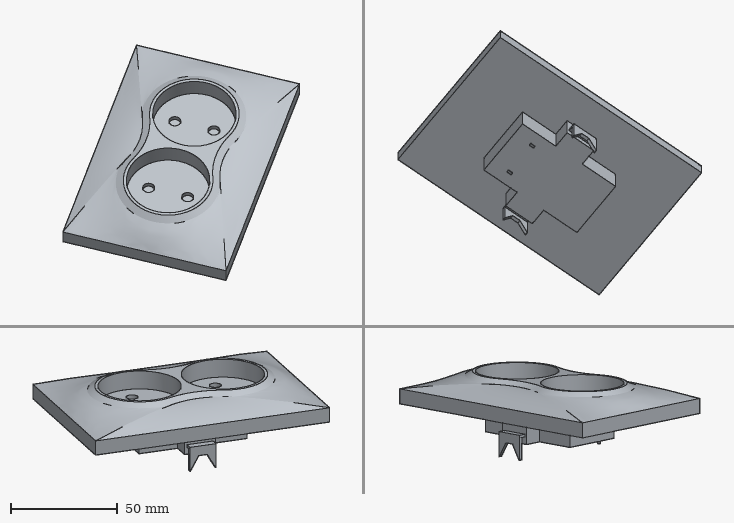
import cadquery as cq
import math


plate_width = 80.0
plate_length = 118.0
rim_height = 7.2
top_height = 15.2

socket_offset = 21.0
collar_top_radius = 21.0
collar_waist = 17.0
collar_flare = 3.4
collar_height = 2.0
collar_foot_height = top_height - collar_height

dome_steps = (0.33, 0.67)
dome_power = 1.5

socket_diameter = 39.0
socket_depth = 9.0
pin_diameter = 5.5
pin_offset = 9.5
pin_depth = 2.1
socket_floor_height = top_height - socket_depth

body_depth = 12.6
body_width = 47.9
body_length = 54.5
wide_arm_length = 15.6
long_arm_width = 30.2

pad_size = (1.2, 2.5)
pad_height = 0.4
pad_x = 8.7
pad_y = 16.9

claw_reach = 27.7
claw_width = 13.2
claw_top = -7.8
claw_bottom = -19.8
claw_leg_thickness = 1.7
claw_tab_thickness = 1.3
notch_top_width = 4.2
claw_tip_width = 0.2


def eight_points(flare):
    """End of the socket arc, far point of that arc and waist point, in the +X +Y quarter.

    The waist arc is centred on the X axis and is tangent to both socket arcs.
    """
    waist_depth = collar_top_radius - collar_waist
    waist_radius = (collar_waist**2 + socket_offset**2 - collar_top_radius**2) / (2 * waist_depth)
    waist_centre = waist_radius + collar_waist
    centre_distance = math.hypot(waist_centre, socket_offset)
    radius = collar_top_radius + flare
    junction = (
        radius * waist_centre / centre_distance,
        socket_offset * (1 - radius / centre_distance),
    )
    return junction, (0, socket_offset + radius), (collar_waist + flare, 0)


def four_sided_outline(height, corner, end, side):
    """Closed outline of four arcs through mirrored corner, end and side points."""
    corner_x, corner_y = corner
    end_y = end[1]
    side_x = side[0]
    return (
        cq.Workplane("XY", origin=(0, 0, height))
        .moveTo(corner_x, corner_y)
        .threePointArc((0, end_y), (-corner_x, corner_y))
        .threePointArc((-side_x, 0), (-corner_x, -corner_y))
        .threePointArc((0, -end_y), (corner_x, -corner_y))
        .threePointArc((side_x, 0), (corner_x, corner_y))
        .close()
        .wires()
        .val()
    )


def make_dome():
    """Domed surface that rises from the straight rim to the foot of the collar."""
    x = plate_width / 2
    y = plate_length / 2
    rim_corners = [(x, y), (-x, y), (-x, -y), (x, -y)]
    rim = cq.Workplane("XY", origin=(0, 0, rim_height)).polyline(rim_corners).close()
    sections = [rim.wires().val()]
    rim_points = ((x, y), (0, y), (x, 0))
    foot_points = eight_points(collar_flare)
    for step in dome_steps:
        rise = 1 - (1 - step) ** dome_power
        height = rim_height + rise * (collar_foot_height - rim_height)
        points = [
            (rx + step * (fx - rx), ry + step * (fy - ry))
            for (rx, ry), (fx, fy) in zip(rim_points, foot_points)
        ]
        sections.append(four_sided_outline(height, *points))
    sections.append(four_sided_outline(collar_foot_height, *foot_points))
    return cq.Workplane(cq.Solid.makeLoft(sections))


def make_collar():
    foot = four_sided_outline(collar_foot_height, *eight_points(collar_flare))
    top = four_sided_outline(top_height, *eight_points(0))
    return cq.Workplane(cq.Solid.makeLoft([foot, top], True))


def make_plate():
    rim = cq.Workplane("XY").rect(plate_width, plate_length).extrude(rim_height)
    return rim.union(make_dome()).union(make_collar())


def cut_socket(part, centre_y):
    bore = (
        cq.Workplane("XY", origin=(0, centre_y, socket_floor_height))
        .circle(socket_diameter / 2)
        .extrude(socket_depth)
    )
    pin_holes = (
        cq.Workplane("XY", origin=(0, centre_y, socket_floor_height))
        .pushPoints([(-pin_offset, 0), (pin_offset, 0)])
        .circle(pin_diameter / 2)
        .extrude(-pin_depth)
    )
    return part.cut(bore).cut(pin_holes)


def make_body():
    wide_arm = cq.Workplane("XY").rect(body_width, wide_arm_length).extrude(-body_depth)
    long_arm = cq.Workplane("XY").rect(long_arm_width, body_length).extrude(-body_depth)
    pads = (
        cq.Workplane("XY", origin=(0, pad_y, -body_depth))
        .pushPoints([(-pad_x, 0), (pad_x, 0)])
        .rect(*pad_size)
        .extrude(-pad_height)
    )
    return wide_arm.union(long_arm).union(pads)


def make_claw():
    """L-shaped claw on the +X side, its leg notched into two points."""
    body_side = body_width / 2
    leg_inside = claw_reach - claw_leg_thickness
    bracket = (
        cq.Workplane("XZ")
        .moveTo(body_side, claw_top)
        .lineTo(claw_reach, claw_top)
        .lineTo(claw_reach, claw_bottom)
        .lineTo(leg_inside, claw_bottom)
        .lineTo(leg_inside, claw_top - claw_tab_thickness)
        .lineTo(body_side, claw_top - claw_tab_thickness)
        .close()
        .extrude(claw_width / 2, both=True)
    )
    notch_half_top = notch_top_width / 2
    notch_half_bottom = claw_width / 2 - claw_tip_width
    notch = (
        cq.Workplane("YZ", origin=(leg_inside, 0, 0))
        .moveTo(-notch_half_top, -body_depth)
        .lineTo(notch_half_top, -body_depth)
        .lineTo(notch_half_bottom, claw_bottom)
        .lineTo(-notch_half_bottom, claw_bottom)
        .close()
        .extrude(claw_leg_thickness)
    )
    return bracket.cut(notch)


result = make_plate().union(make_body())
for centre_y in (-socket_offset, socket_offset):
    result = cut_socket(result, centre_y)
claw = make_claw()
result = result.union(claw).union(claw.mirror("YZ"))